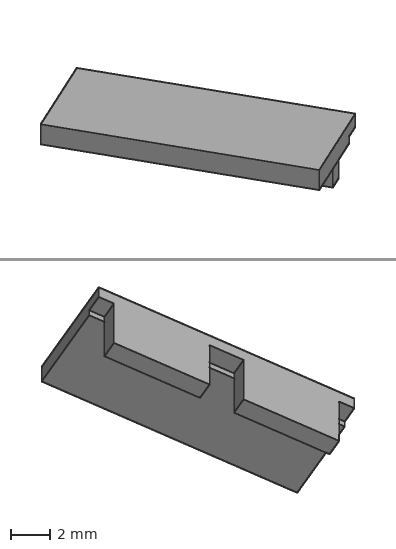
import cadquery as cq

plate_length = 15.0
plate_width = 6.0
plate_thickness = 1.2

tab_thickness = 1.0
roof_thickness = 0.8
rebate_depth = plate_thickness - roof_thickness

overall_height = 4.0
tab_length = 5.61
tab_gap = 2.0
tab_height = overall_height - roof_thickness
tab_centre_x = (tab_gap + tab_length) / 2
rear_y = plate_width / 2
tab_centre_y = rear_y - tab_thickness / 2


def rear_block(length, height, centre_x):
    """Block flush with the rear face, hanging from the roof of the rebate."""
    block = cq.Workplane("XY").box(length, tab_thickness, height, centered=(True, True, False))
    return block.translate((centre_x, tab_centre_y, -roof_thickness - height))


plate = cq.Workplane("XY").box(plate_length, plate_width, plate_thickness, centered=(True, True, False))
plate = plate.translate((0, 0, -plate_thickness))

result = plate.cut(rear_block(plate_length, rebate_depth, 0))
for side in (-1, 1):
    result = result.union(rear_block(tab_length, tab_height, side * tab_centre_x))